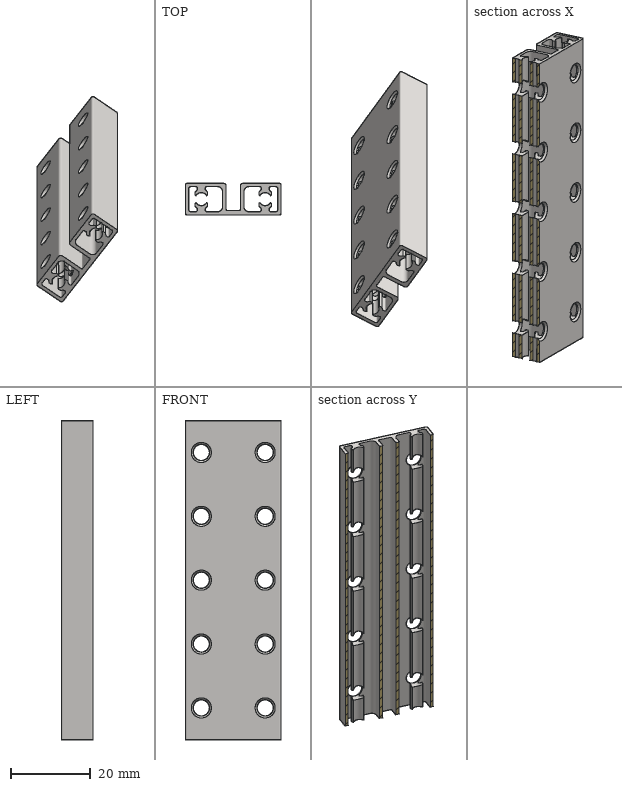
import cadquery as cq
import math

WIDTH = 24.0
DEPTH = 8.0
LENGTH = 80.0

SIDE_WALL = 0.9
FACE_WALL = 0.9
OUTER_RADIUS = 0.5
SLOT_WIDTH = 3.5
SLOT_FLOOR = 1.2
SLOT_LIP_RADIUS = 0.7
SLOT_FLOOR_RADIUS = 0.2
SLOT_WALL = 1.0
CAVITY_OUTER_RADIUS = 0.5
CAVITY_INNER_RADIUS = 1.2

CHANNEL_X = 8.0
BORE_DIAMETER = 3.2
CLAW_HALF_WIDTH = 1.6
TIP_HALF_WIDTH = 1.4
NECK_HALF_WIDTH = 1.0
CLAW_SIDE_BOTTOM = 1.1
CLAW_SIDE_TOP = 1.8
NECK_RADIUS = 0.4
ROOT_RADIUS = 0.3

HOLE_DIAMETER = 4.0
COUNTERSINK_DIAMETER = 5.0
COUNTERSINK_ANGLE = 90.0
HOLE_ROWS = 5
HOLE_PITCH = 16.0

SLOT_HALF = SLOT_WIDTH / 2
CAVITY_OUTER_X = WIDTH / 2 - SIDE_WALL
CAVITY_INNER_X = SLOT_HALF + SLOT_WALL
CAVITY_HALF_DEPTH = DEPTH / 2 - FACE_WALL


def make_prism(outline):
    """Extrude an XY outline over the full length, centred on Z."""
    return outline.extrude(LENGTH / 2, both=True)


def fillet_at(body, points, radius):
    """Round the Z edges that run through the given XY points."""
    for x, y in points:
        body = body.edges(cq.selectors.NearestToPointSelector((x, y, 0))).fillet(radius)
    return body


def make_envelope():
    """Rounded bar with the open slot down the middle of its +Y face."""
    body = make_prism(cq.Workplane("XY").rect(WIDTH, DEPTH))
    body = body.edges("|Z").fillet(OUTER_RADIUS)
    floor_y = -DEPTH / 2 + SLOT_FLOOR
    slot_depth = DEPTH - SLOT_FLOOR
    slot_outline = cq.Workplane("XY").center(0, floor_y + slot_depth / 2).rect(SLOT_WIDTH, slot_depth)
    body = body.cut(make_prism(slot_outline))
    body = fillet_at(body, [(-SLOT_HALF, DEPTH / 2), (SLOT_HALF, DEPTH / 2)], SLOT_LIP_RADIUS)
    return fillet_at(body, [(-SLOT_HALF, floor_y), (SLOT_HALF, floor_y)], SLOT_FLOOR_RADIUS)


def make_claw():
    """Claw hanging from the +Y wall of the right-hand cavity, its tips on the bore."""
    bore_radius = BORE_DIAMETER / 2
    tip_y = math.sqrt(bore_radius**2 - TIP_HALF_WIDTH**2)
    neck_y = CLAW_SIDE_TOP + CLAW_HALF_WIDTH - NECK_HALF_WIDTH
    outline = (
        cq.Workplane("XY")
        .center(CHANNEL_X, 0)
        .moveTo(-TIP_HALF_WIDTH, tip_y)
        .lineTo(-CLAW_HALF_WIDTH, CLAW_SIDE_BOTTOM)
        .lineTo(-CLAW_HALF_WIDTH, CLAW_SIDE_TOP)
        .lineTo(-NECK_HALF_WIDTH, neck_y)
        .lineTo(-NECK_HALF_WIDTH, CAVITY_HALF_DEPTH)
        .lineTo(NECK_HALF_WIDTH, CAVITY_HALF_DEPTH)
        .lineTo(NECK_HALF_WIDTH, neck_y)
        .lineTo(CLAW_HALF_WIDTH, CLAW_SIDE_TOP)
        .lineTo(CLAW_HALF_WIDTH, CLAW_SIDE_BOTTOM)
        .lineTo(TIP_HALF_WIDTH, tip_y)
        .threePointArc((0, bore_radius), (-TIP_HALF_WIDTH, tip_y))
        .close()
    )
    claw = make_prism(outline)
    necks = [(CHANNEL_X + side * NECK_HALF_WIDTH, neck_y) for side in (-1, 1)]
    return fillet_at(claw, necks, NECK_RADIUS)


def make_cavity():
    """Hollow of the right-hand tube, with the two claws left standing."""
    center_x = (CAVITY_OUTER_X + CAVITY_INNER_X) / 2
    width = CAVITY_OUTER_X - CAVITY_INNER_X
    cavity = make_prism(cq.Workplane("XY").center(center_x, 0).rect(width, 2 * CAVITY_HALF_DEPTH))
    cavity = cavity.edges("|Z and >X").fillet(CAVITY_OUTER_RADIUS)
    cavity = cavity.edges("|Z and <X").fillet(CAVITY_INNER_RADIUS)
    claw = make_claw()
    cavity = cavity.cut(claw).cut(claw.mirror("XZ"))
    roots = [
        (CHANNEL_X + side * NECK_HALF_WIDTH, face * CAVITY_HALF_DEPTH)
        for side in (-1, 1)
        for face in (-1, 1)
    ]
    return fillet_at(cavity, roots, ROOT_RADIUS)


def cut_cross_holes(body):
    """Two columns of through holes, countersunk on the -Y face."""
    return (
        body.faces("<Y")
        .workplane(origin=(0, -DEPTH / 2, 0))
        .rarray(2 * CHANNEL_X, HOLE_PITCH, 2, HOLE_ROWS)
        .cskHole(HOLE_DIAMETER, COUNTERSINK_DIAMETER, COUNTERSINK_ANGLE)
    )


cavity = make_cavity()
profile = make_envelope().cut(cavity).cut(cavity.mirror("YZ"))
result = cut_cross_holes(profile)